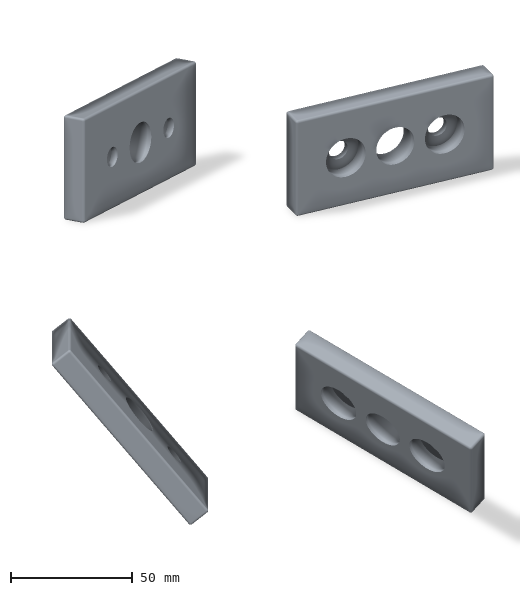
import cadquery as cq

thickness = 10.0
length = 90.0
height = 45.0
edge_radius = 1.0

center_hole_diameter = 17.29
bolt_hole_diameter = 8.5
counterbore_diameter = 18.0
counterbore_depth = 7.0
bolt_hole_offset = length / 4


def rounded_plate():
    """Plate centred on the origin with every edge rounded."""
    return cq.Workplane("XY").box(thickness, length, height).edges().fillet(edge_radius)


def bore_from_front(y, diameter, depth):
    """Cylinder sunk from the -X face to the given depth, centred at y."""
    return (
        cq.Workplane("YZ", origin=(-thickness / 2, y, 0))
        .circle(diameter / 2)
        .extrude(depth)
    )


def counterbored_hole(y):
    """Through hole with a wider counterbore on the -X face."""
    through = bore_from_front(y, bolt_hole_diameter, thickness)
    counterbore = bore_from_front(y, counterbore_diameter, counterbore_depth)
    return through.union(counterbore)


result = rounded_plate().cut(bore_from_front(0, center_hole_diameter, thickness))
for side in (-1, 1):
    result = result.cut(counterbored_hole(side * bolt_hole_offset))